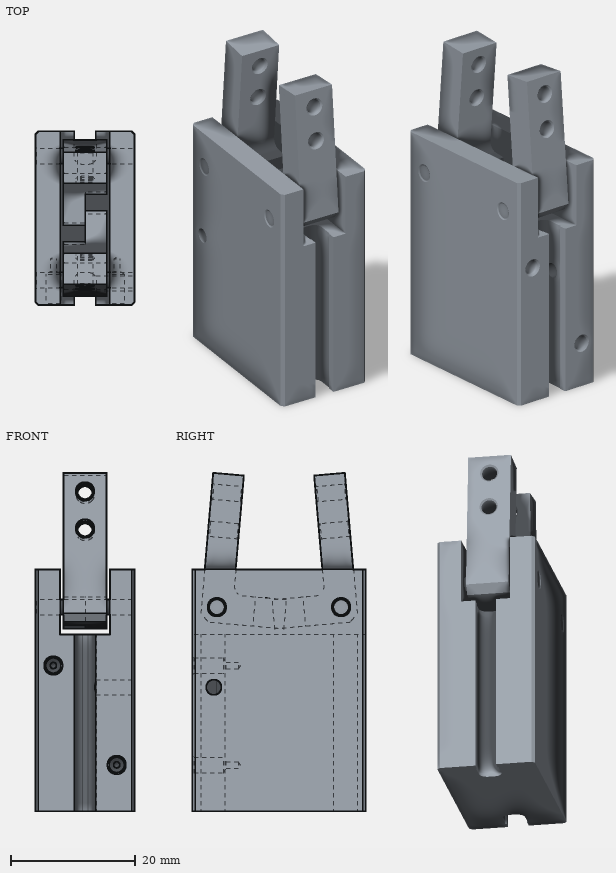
import cadquery as cq
import math


HOUSING_WIDTH = 16.0
HOUSING_LENGTH = 28.0
HOUSING_HEIGHT = 39.0
EDGE_CHAMFER = 0.5
POCKET_WIDTH = 8.0
POCKET_DEPTH = 10.5
POCKET_FLOOR = HOUSING_HEIGHT - POCKET_DEPTH

SLOT_MOUTH_WIDTH = 3.4
SLOT_LIP = 1.4
SLOT_CAVITY_WIDTH = 3.7
SLOT_DEPTH = 5.3
SLOT_CORNER_RADIUS = 1.4

THREAD_CORE = 2.46
COUNTERSINK = 3.0
THREAD_SINK_DEPTH = (COUNTERSINK - THREAD_CORE) / 2
DRILL_POINT_ANGLE = 118.0

PORT_OFFSET = 5.1
PORTS = [(-PORT_OFFSET, 23.5), (PORT_OFFSET, 7.5)]
PORT_DEPTH = 5.0
ORIFICE_DIAMETER = 1.0
ORIFICE_LENGTH = 2.0

SIDE_HOLE_Y = -10.5
SIDE_HOLE_Z = 20.0

PIVOT_SPACING = 20.0
PIVOT_BELOW_TOP = 6.1
PIVOT_HEIGHT = HOUSING_HEIGHT - PIVOT_BELOW_TOP
PIN_DIAMETER = 2.5
PIN_SINK_DEPTH = 0.15
PIN_LENGTH = HOUSING_WIDTH - 2 * PIN_SINK_DEPTH

FINGER_TILT = 5.0
FINGER_WIDTH = 7.0
FINGER_THICKNESS = 5.0
FINGER_TOP = 21.5
HEEL_DEPTH = 2.5
HEEL_CHAMFER = 1.3
ARM_TOP = 2.2
ARM_FILLET = 1.5
ARM_SHORT_REACH = 6.0
ARM_LONG_REACH = 11.0
FINGER_HOLE_EDGE_DISTANCE = 3.0
FINGER_HOLE_PITCH = 6.0
UPPER_HOLE_HEIGHT = FINGER_TOP - FINGER_HOLE_EDGE_DISTANCE
FINGER_HOLE_HEIGHTS = [UPPER_HOLE_HEIGHT, UPPER_HOLE_HEIGHT - FINGER_HOLE_PITCH]


def cone_height(large_diameter, small_diameter):
    """Height of a drill-point cone between two diameters."""
    return (large_diameter - small_diameter) / 2 / math.tan(math.radians(DRILL_POINT_ANGLE / 2))


def housing_block():
    """Upright block with its four vertical edges chamfered."""
    half_width = HOUSING_WIDTH / 2
    half_length = HOUSING_LENGTH / 2
    corner_x = half_width - EDGE_CHAMFER
    corner_y = half_length - EDGE_CHAMFER
    quarter = [(half_width, corner_y), (corner_x, half_length)]
    upper = quarter + [(-x, y) for x, y in reversed(quarter)]
    lower = [(-x, -y) for x, y in upper]
    return cq.Workplane("XY").polyline(upper + lower).close().extrude(HOUSING_HEIGHT)


def finger_pocket():
    """Pocket open at the top and at both Y ends, where the fingers swing."""
    return (
        cq.Workplane("XY")
        .workplane(offset=POCKET_FLOOR)
        .rect(POCKET_WIDTH, HOUSING_LENGTH)
        .extrude(POCKET_DEPTH)
    )


def sensor_slot():
    """Slot in the -Y face: a narrow mouth opening into a wider cavity with a rounded bottom."""
    face_y = -HOUSING_LENGTH / 2
    mouth = (
        cq.Workplane("XY")
        .center(0, face_y + SLOT_LIP / 2)
        .rect(SLOT_MOUTH_WIDTH, SLOT_LIP)
        .extrude(HOUSING_HEIGHT)
    )
    cavity = (
        cq.Workplane("XY")
        .center(0, face_y + (SLOT_LIP + SLOT_DEPTH) / 2)
        .rect(SLOT_CAVITY_WIDTH, SLOT_DEPTH - SLOT_LIP)
        .extrude(HOUSING_HEIGHT)
        .edges("|Z and >Y")
        .fillet(SLOT_CORNER_RADIUS)
    )
    return mouth.union(cavity)


def air_port(x, z):
    """Countersunk threaded port with a drill point leading to a small pointed orifice."""
    orifice_start = PORT_DEPTH + cone_height(THREAD_CORE, ORIFICE_DIAMETER)
    orifice_end = orifice_start + ORIFICE_LENGTH
    profile = [
        (0, 0),
        (COUNTERSINK / 2, 0),
        (THREAD_CORE / 2, THREAD_SINK_DEPTH),
        (THREAD_CORE / 2, PORT_DEPTH),
        (ORIFICE_DIAMETER / 2, orifice_start),
        (ORIFICE_DIAMETER / 2, orifice_end),
        (0, orifice_end + cone_height(ORIFICE_DIAMETER, 0)),
    ]
    cutter = cq.Workplane("XY").polyline(profile).close().revolve(360, (0, 0, 0), (0, 1, 0))
    return cutter.translate((x, -HOUSING_LENGTH / 2, z))


def countersunk_through_hole(diameter, length, sink):
    """Cutter along Y, centred on the origin, countersunk at both ends."""
    half = length / 2
    profile = [
        (0, -half),
        (COUNTERSINK / 2, -half),
        (diameter / 2, sink - half),
        (diameter / 2, half - sink),
        (COUNTERSINK / 2, half),
        (0, half),
    ]
    return cq.Workplane("XY").polyline(profile).close().revolve(360, (0, 0, 0), (0, 1, 0))


def pin_hole(y):
    """Pivot hole along X through both cheeks of the housing."""
    cutter = countersunk_through_hole(PIN_DIAMETER, HOUSING_WIDTH, PIN_SINK_DEPTH)
    return cutter.rotate((0, 0, 0), (0, 0, 1), 90).translate((0, y, PIVOT_HEIGHT))


def side_hole():
    """Plain core hole along X from the +X face into the open sensor slot."""
    return (
        cq.Workplane("YZ")
        .center(SIDE_HOLE_Y, SIDE_HOLE_Z)
        .circle(THREAD_CORE / 2)
        .extrude(HOUSING_WIDTH / 2)
    )


def make_housing():
    housing = housing_block().cut(finger_pocket())
    for turn in (0, 180):
        housing = housing.cut(sensor_slot().rotate((0, 0, 0), (0, 0, 1), turn))
    for x, z in PORTS:
        housing = housing.cut(air_port(x, z))
    for y in (-PIVOT_SPACING / 2, PIVOT_SPACING / 2):
        housing = housing.cut(pin_hole(y))
    return housing.cut(side_hole())


def finger_half(arm_reach, x_start):
    """Half the width of a finger: an upright bar with a filleted arm reaching toward -Y."""
    half = FINGER_THICKNESS / 2
    return (
        cq.Workplane("YZ")
        .workplane(offset=x_start)
        .moveTo(half, FINGER_TOP)
        .lineTo(-half, FINGER_TOP)
        .lineTo(-half, ARM_TOP + ARM_FILLET)
        .radiusArc((-half - ARM_FILLET, ARM_TOP), ARM_FILLET)
        .lineTo(-arm_reach, ARM_TOP)
        .lineTo(-arm_reach, -HEEL_DEPTH)
        .lineTo(half - HEEL_CHAMFER, -HEEL_DEPTH)
        .lineTo(half, HEEL_CHAMFER - HEEL_DEPTH)
        .close()
        .extrude(FINGER_WIDTH / 2)
    )


def make_finger():
    """The +Y finger with its pivot pin, tilted inward about the pivot."""
    long_half = finger_half(ARM_LONG_REACH, -FINGER_WIDTH / 2)
    short_half = finger_half(ARM_SHORT_REACH, 0)
    pin = cq.Workplane("YZ").circle(PIN_DIAMETER / 2).extrude(PIN_LENGTH / 2, both=True)
    finger = long_half.union(short_half).union(pin)
    for height in FINGER_HOLE_HEIGHTS:
        hole = countersunk_through_hole(THREAD_CORE, FINGER_THICKNESS, THREAD_SINK_DEPTH)
        finger = finger.cut(hole.translate((0, 0, height)))
    finger = finger.rotate((0, 0, 0), (1, 0, 0), FINGER_TILT)
    return finger.translate((0, PIVOT_SPACING / 2, PIVOT_HEIGHT))


housing = make_housing()

fingers = [make_finger().rotate((0, 0, 0), (0, 0, 1), turn) for turn in (0, 180)]

result = cq.Compound.makeCompound([housing.solids().val()] + [finger.solids().val() for finger in fingers])